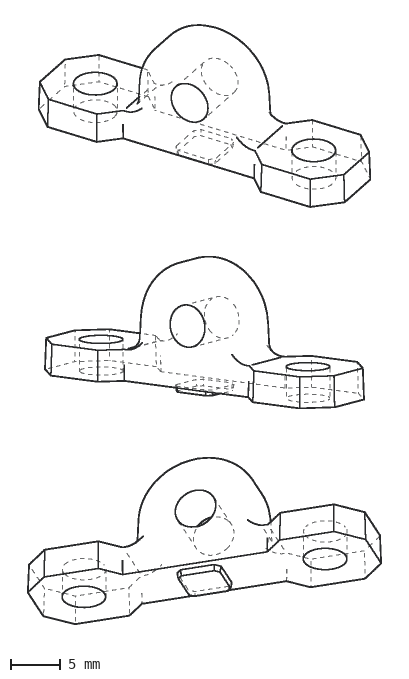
import cadquery as cq
import math

length = 35.55
pad_width = 10.17
plate_thickness = 3.2
draft_angle = 2.0
draft = math.radians(draft_angle)

outer_corner_cut = 2.52
pad_inner_corner_x = 9.53
bridge_width = 6.33

pin_height = 6.4
arch_radius = 6.35
pin_diameter = 4.25
edge_radius = 1.28
root_radius = 1.28
root_margin = 2 * root_radius
select_tolerance = 0.05

hole_spacing = 25.4
hole_diameter = 4.37
peg_width = 4.62
peg_corner_cut = 0.55
peg_height = 0.65
peg_draft_angle = 10.0

half_length = length / 2
half_pad = pad_width / 2
half_bridge = bridge_width / 2
neck_x = pad_inner_corner_x - (half_pad - half_bridge)
arch_top = pin_height + arch_radius


def make_plate():
    """Two corner-cut pads joined by a narrow bridge, with drafted walls."""
    right_back = [
        (neck_x, half_bridge),
        (pad_inner_corner_x, half_pad),
        (half_length - outer_corner_cut, half_pad),
        (half_length, half_pad - outer_corner_cut),
    ]
    right_front = [(x, -y) for x, y in reversed(right_back)]
    right = right_back + right_front
    left = [(-x, -y) for x, y in right]
    return cq.Workplane("XY").polyline(right + left).close().extrude(plate_thickness, taper=draft_angle)


def drafted_bridge():
    """Bridge-width block whose front and back walls lean inward."""
    half_top = half_bridge - arch_top * math.tan(draft)
    return (
        cq.Workplane("YZ")
        .polyline([(-half_bridge, 0), (half_bridge, 0), (half_top, arch_top), (-half_top, arch_top)])
        .close()
        .extrude(half_length, both=True)
    )


def make_lug():
    """Arch with rounded rims and a flared root, trimmed to the bridge walls."""
    tangent_x = arch_radius * math.cos(draft)
    tangent_z = pin_height + arch_radius * math.sin(draft)
    foot_x = tangent_x + tangent_z * math.tan(draft)
    arch = (
        cq.Workplane("XZ")
        .moveTo(-foot_x, 0)
        .lineTo(-tangent_x, tangent_z)
        .threePointArc((0, arch_top), (tangent_x, tangent_z))
        .lineTo(foot_x, 0)
        .close()
        .extrude(half_pad, both=True)
    )
    walls = drafted_bridge()
    lug = arch.intersect(walls)
    lug = lug.faces("<Y or >Y").edges("not <Z").fillet(edge_radius)

    slab = cq.Workplane("XY").box(
        2 * (foot_x + root_margin),
        bridge_width + 2 * root_margin,
        plate_thickness,
        centered=(True, True, False),
    )
    root_zone = cq.selectors.BoxSelector(
        (-foot_x - select_tolerance, -half_bridge - select_tolerance, plate_thickness - select_tolerance),
        (foot_x + select_tolerance, half_bridge + select_tolerance, plate_thickness + select_tolerance),
    )
    flared = slab.union(lug).edges(root_zone).fillet(root_radius)
    trim = cq.Workplane("XY").rect(2 * neck_x, pad_width).extrude(arch_top)
    return flared.intersect(walls).intersect(trim)


def make_peg():
    """Shallow square peg with cut corners, narrowing downward."""
    half = peg_width / 2
    flat = half - peg_corner_cut
    corners = [
        (half, flat), (flat, half), (-flat, half), (-half, flat),
        (-half, -flat), (-flat, -half), (flat, -half), (half, -flat),
    ]
    return cq.Workplane("XY").polyline(corners).close().extrude(-peg_height, taper=peg_draft_angle)


pin_hole = cq.Workplane("XZ").center(0, pin_height).circle(pin_diameter / 2).extrude(half_pad, both=True)
mounting_holes = (
    cq.Workplane("XY")
    .pushPoints([(-hole_spacing / 2, 0), (hole_spacing / 2, 0)])
    .circle(hole_diameter / 2)
    .extrude(plate_thickness)
)

result = make_plate().union(make_lug()).union(make_peg()).cut(pin_hole).cut(mounting_holes)